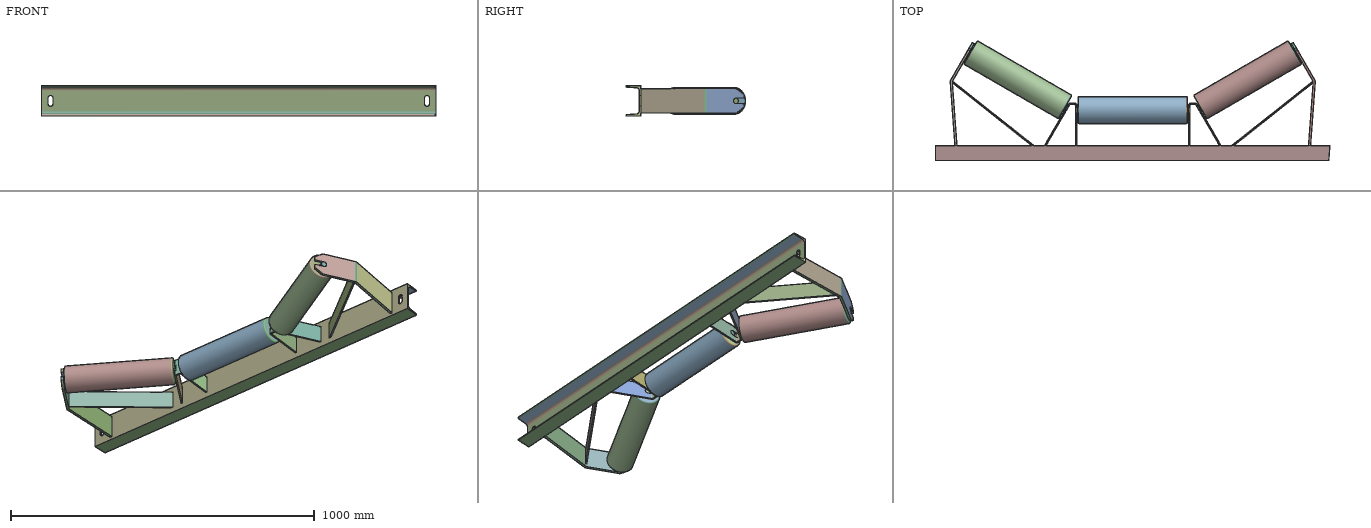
import cadquery as cq
import math


base_length = 1300
skew = 4.0
channel_depth = 50.0
channel_height = 100.0
web_thickness = 6.0
flange_tip = 5.0
flange_root = 8.0
toe_radius = 4.0
root_radius = 9.0
mount_slot_width = 15.0
mount_slot_length = 35.0
mount_slot_offset = 620.0

roller_diameter = 90.0
roller_length = 360.0
roller_edge_radius = 4.0
axle_diameter = 18.0
trough_angle = 30
middle_roller_y = 117.0
side_roller_x = -378.0
side_roller_y = 217.0

arm_thickness = 8.0
arm_width = 80.0
brace_thickness = 5.0
brace_width = 60.0
roller_gap = 4.0
tip_chamfer_length = 27.0
tip_chamfer_depth = 18.0
arm_foot_x = -586.0
arm_bend_y = 213.0
arm_bend_radius = 6.0
arm_tip_reach = 31.0
bracket_top_y = 140.0
bracket_bend_radius = 3.0
strut_foot_x = -329.0

arm_face = roller_length / 2 + roller_gap + arm_thickness
bracket_face = roller_length / 2 + roller_gap
bracket_reach = bracket_face + brace_thickness
tilt = math.radians(trough_angle)


def in_side_frame(along, up):
    """XY point in the left roller's frame: along its axis (towards the middle), and square to it."""
    return (
        side_roller_x + along * math.cos(tilt) + up * math.sin(tilt),
        side_roller_y - along * math.sin(tilt) + up * math.cos(tilt),
    )


def side_point_at_height(along, y):
    """XY point at height y on the line square to the left roller's axis at `along`."""
    up = (y - side_roller_y + along * math.sin(tilt)) / math.cos(tilt)
    return in_side_frame(along, up)


def extend_to_height(start, end, y):
    """Point at height y on the straight line through two XY points."""
    share = (y - start[1]) / (end[1] - start[1])
    return (start[0] + share * (end[0] - start[0]), y)


def offset_path(points, distance):
    """Copy of an open polyline moved to its right by `distance`, with mitred corners and square ends."""
    normals = []
    for (x0, y0), (x1, y1) in zip(points, points[1:]):
        length = math.hypot(x1 - x0, y1 - y0)
        normals.append(((y1 - y0) / length, (x0 - x1) / length))
    moved = []
    for i, (x, y) in enumerate(points):
        before_x, before_y = normals[max(i - 1, 0)]
        after_x, after_y = normals[min(i, len(normals) - 1)]
        miter = distance / (1 + before_x * after_x + before_y * after_y)
        moved.append((x + miter * (before_x + after_x), y + miter * (before_y + after_y)))
    return moved


def plate(outline, width):
    """Outline in XY extruded to a width centred on Z = 0."""
    return cq.Workplane("XY", origin=(0, 0, -width / 2)).polyline(outline).close().extrude(width)


def fillet_along_z(body, corner, radius):
    return body.edges(cq.selectors.NearestToPointSelector((*corner, 0))).fillet(radius)


def above_channel(body):
    """The part of a body that stands clear of the back of the channel."""
    return body.intersect(cq.Workplane("XY").box(base_length, base_length, base_length, (True, False, True)))


def make_channel():
    half = channel_height / 2
    root = half - flange_root
    toe = half - flange_tip
    left = -base_length / 2
    right = base_length / 2
    section = [
        (0, -half), (-channel_depth, -half), (-channel_depth, -toe), (-web_thickness, -root),
        (-web_thickness, root), (-channel_depth, toe), (-channel_depth, half), (0, half),
    ]
    channel = cq.Workplane("YZ", origin=(left, 0, 0)).polyline(section).close().extrude(base_length)
    for side in (-1, 1):
        for y, z, radius in ((-web_thickness, root, root_radius), (-channel_depth, toe, toe_radius)):
            corner = (0, y, side * z)
            channel = channel.edges(cq.selectors.NearestToPointSelector(corner)).fillet(radius)

    plan = [(left, 0), (right, 0), (right - skew, -channel_depth), (left, -channel_depth)]
    channel = channel.intersect(plate(plan, channel_height))

    slots = (
        cq.Workplane("XZ")
        .pushPoints([(-mount_slot_offset, 0), (mount_slot_offset, 0)])
        .slot2D(mount_slot_length, mount_slot_width, 90)
        .extrude(channel_depth)
    )
    return channel.cut(slots)


def make_roller(left_reach, right_reach):
    """Roller centred on the origin along X, with axle ends that reach this far to either side."""
    shell = (
        cq.Workplane("YZ", origin=(-roller_length / 2, 0, 0))
        .circle(roller_diameter / 2)
        .extrude(roller_length)
        .faces("<X or >X").edges().fillet(roller_edge_radius)
    )
    axle = (
        cq.Workplane("YZ", origin=(-left_reach, 0, 0))
        .circle(axle_diameter / 2)
        .extrude(left_reach + right_reach)
    )
    return shell.union(axle)


def lean_to_left_side(body):
    """Move a body from the X axis onto the left roller's axis."""
    return body.rotate((0, 0, 0), (0, 0, 1), -trough_angle).translate((side_roller_x, side_roller_y, 0))


def axle_slot(x, thickness, reach):
    """Slot for an axle on the X axis, open upwards, from x through a strip of this thickness."""
    bottom = cq.Workplane("YZ", origin=(x, 0, 0)).circle(axle_diameter / 2).extrude(thickness)
    mouth = cq.Workplane("YZ", origin=(x, reach / 2, 0)).rect(reach, axle_diameter).extrude(thickness)
    return bottom.union(mouth)


def tip_corners(x, thickness, width, reach):
    """The two corners cut off the tip of a strip that crosses the X axis at x."""
    corners = cq.Workplane("YZ", origin=(x, 0, 0))
    for side in (-1, 1):
        edge = side * width / 2
        corners = corners.polyline([
            (reach, edge),
            (reach, edge - side * tip_chamfer_depth),
            (reach - tip_chamfer_length, edge),
        ]).close()
    return corners.extrude(thickness)


def make_left_arm():
    """Outer support: a leg on the channel, bent inwards to carry the outer axle end."""
    outer = [
        extend_to_height(arm_bend, (arm_foot_x, 0), -arm_thickness),
        arm_bend,
        in_side_frame(-arm_face, arm_tip_reach),
    ]
    inner = offset_path(outer, arm_thickness)
    arm = plate(outer + inner[::-1], arm_width)
    arm = fillet_along_z(arm, outer[1], arm_bend_radius + arm_thickness)
    arm = fillet_along_z(arm, inner[1], arm_bend_radius)
    arm = arm.cut(lean_to_left_side(axle_slot(-arm_face, arm_thickness, arm_tip_reach)))
    arm = arm.cut(lean_to_left_side(tip_corners(-arm_face, arm_thickness, arm_width, arm_tip_reach)))
    return above_channel(arm)


def make_left_strut(arm):
    """Diagonal brace from the channel to the bend of the arm."""
    start = (arm_bend[0] + arm_thickness / 2, arm_bend[1])
    end = extend_to_height(start, (strut_foot_x, 0), -brace_thickness)
    upper = offset_path([start, end], -brace_thickness / 2)
    lower = offset_path([start, end], brace_thickness / 2)
    return above_channel(plate(upper + lower[::-1], brace_width).cut(arm))


def make_left_bracket():
    """Inner support: a leaning leg for the side roller joined to an upright leg for the middle one."""
    outer = [
        side_point_at_height(bracket_face, -brace_thickness),
        side_point_at_height(bracket_face, bracket_top_y),
        (-bracket_face, bracket_top_y),
        (-bracket_face, -brace_thickness),
    ]
    inner = offset_path(outer, brace_thickness)
    bracket = plate(outer + inner[::-1], brace_width)
    for outer_corner, inner_corner in zip(outer[1:3], inner[1:3]):
        bracket = fillet_along_z(bracket, outer_corner, bracket_bend_radius + brace_thickness)
        bracket = fillet_along_z(bracket, inner_corner, bracket_bend_radius)
    side_slot = lean_to_left_side(axle_slot(bracket_face, brace_thickness, roller_diameter / 2))
    middle_slot = axle_slot(-bracket_reach, brace_thickness, roller_diameter / 2).translate((0, middle_roller_y, 0))
    return above_channel(bracket.cut(side_slot).cut(middle_slot))


def both_sides(left):
    return [left, left.mirror("YZ")]


arm_bend = side_point_at_height(-arm_face, arm_bend_y)

channel = make_channel()
middle_roller = make_roller(bracket_reach, bracket_reach).translate((0, middle_roller_y, 0))
left_roller = lean_to_left_side(make_roller(arm_face, bracket_reach))
left_arm = make_left_arm()
left_strut = make_left_strut(left_arm)
left_bracket = make_left_bracket()

bodies = [channel, middle_roller]
for left_body in (left_roller, left_arm, left_strut, left_bracket):
    bodies += both_sides(left_body)
result = cq.Compound.makeCompound([body.val() for body in bodies])